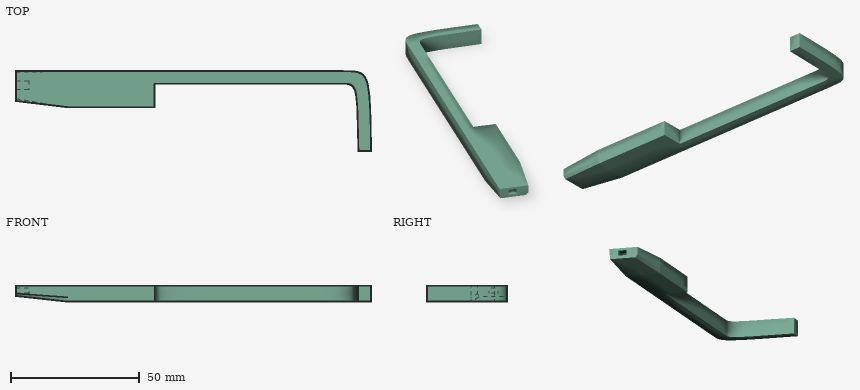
import cadquery as cq

LENGTH = 138.2
HOOK_REACH = 31.2
THICKNESS = 6.3

BLADE_LENGTH = 54.0
BLADE_WIDTH = 14.1
BAR_WIDTH = 5.0

BEND_START = 127.1
INNER_SHAFT_PULL = 5.5
OUTER_SHAFT_PULL = 10.6
LEG_LEAN = 0.4

TAPER_LENGTH = 20.0
TIP_WIDTH = 11.7
TIP_HEIGHT = 4.1
TIP_BEVEL = 1.0
TIP_REAR_DRAFT = 0.4
BEVEL_ROOT_DEPTH = 4.6

POCKET_WIDTH = 3.4
POCKET_HEIGHT = 2.0
POCKET_DEPTH = 5.0
POCKET_REAR_OFFSET = 3.7
POCKET_TOP_OFFSET = 0.9


def leg_curve(end_x, shaft_y, shaft_pull):
    """Control points of a leg edge, tangent to the shaft edge at shaft_y and ending at end_x."""
    return [
        (BEND_START, shaft_y),
        (BEND_START + shaft_pull, shaft_y),
        (end_x - LEG_LEAN, shaft_y),
        (end_x, -HOOK_REACH),
    ]


def make_body():
    """Blade, shaft and hook as one flat bar, starting where the taper ends."""
    outer_edge = leg_curve(LENGTH, 0, OUTER_SHAFT_PULL)
    inner_edge = leg_curve(LENGTH - BAR_WIDTH, -BAR_WIDTH, INNER_SHAFT_PULL)
    return (
        cq.Workplane("XY")
        .moveTo(TAPER_LENGTH, 0)
        .lineTo(*outer_edge[0])
        .bezier(outer_edge)
        .lineTo(*inner_edge[-1])
        .bezier(inner_edge[::-1])
        .lineTo(BLADE_LENGTH, -BAR_WIDTH)
        .lineTo(BLADE_LENGTH, -BLADE_WIDTH)
        .lineTo(TAPER_LENGTH, -BLADE_WIDTH)
        .close()
        .extrude(-THICKNESS)
    )


def section_wire(x, section):
    """Closed polygon of (y, z) points in the plane at x."""
    return cq.Wire.makePolygon([cq.Vector(x, y, z) for y, z in section], close=True)


def make_tip():
    """Taper whose lower front bevel twists into the blade's front face."""
    end_section = [
        (0, 0),
        (-TIP_WIDTH, 0),
        (-TIP_WIDTH, TIP_BEVEL - TIP_HEIGHT),
        (TIP_BEVEL - TIP_WIDTH, -TIP_HEIGHT),
        (-TIP_REAR_DRAFT, -TIP_HEIGHT),
    ]
    root_section = [
        (0, 0),
        (-BLADE_WIDTH, 0),
        (-BLADE_WIDTH, -BEVEL_ROOT_DEPTH),
        (-BLADE_WIDTH, -THICKNESS),
        (0, -THICKNESS),
    ]
    wires = [section_wire(0, end_section), section_wire(TAPER_LENGTH, root_section)]
    return cq.Workplane(cq.Solid.makeLoft(wires, ruled=True))


def make_pocket():
    """Block that hollows the rectangular pocket into the tip's end face."""
    return (
        cq.Workplane("XY")
        .box(POCKET_DEPTH, POCKET_WIDTH, POCKET_HEIGHT, centered=False)
        .translate((0, -POCKET_REAR_OFFSET - POCKET_WIDTH, -POCKET_TOP_OFFSET - POCKET_HEIGHT))
    )


result = make_body().union(make_tip()).cut(make_pocket())